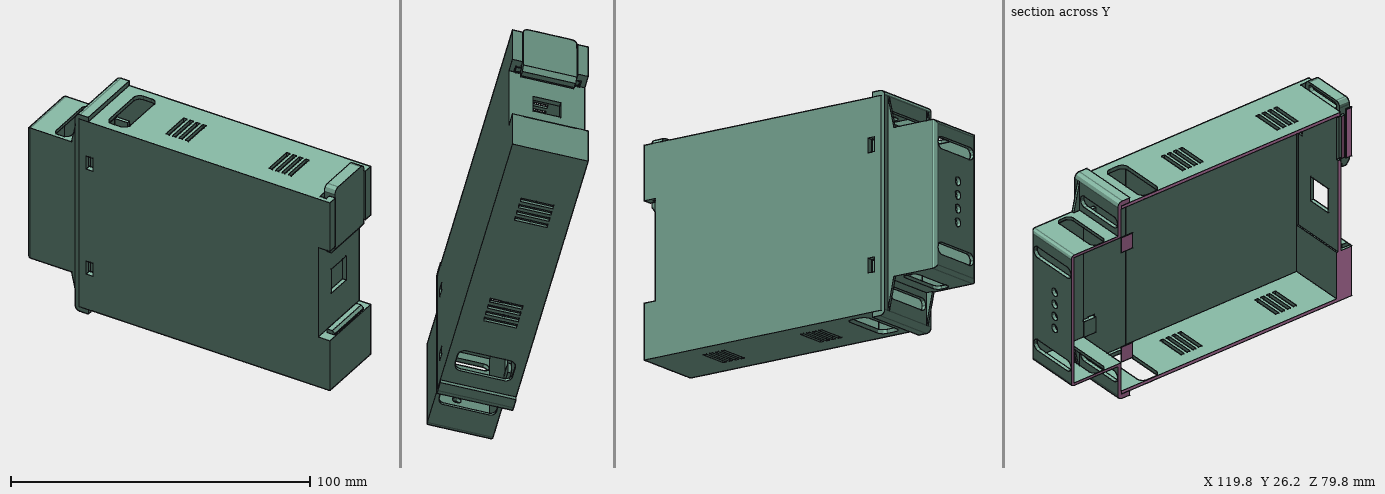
import cadquery as cq


length = 119.8
width = 26.2

housing_front = 21.3
housing_height = 75.0
side_wall = 2.0
end_wall = 1.4
rear_side_wall = 1.7
wall_step_x = 40.3
cavity_back = 113.2
rail_notch_x = 115.2
rail_notch_top = 18.1
rail_notch_bottom = -17.6
notch_wall = 1.4
sight_opening = 9.6
terminal_hole_x = 34.1
terminal_hole_length = 8.0
terminal_hole_corner = 2.4

vent_group_starts = (51.6, 92.0)
vent_count = 4
vent_pitch = 2.5
vent_width = 1.3
vent_span = 11.3
bottom_vent_shift = 0.7

hook_front = 116.3
hook_back = 119.3
hook_height = 1.4
hook_chamfer = 1.0

nose_width = 22.8
nose_height = 52.0
nose_back = 17.4
nose_wall = 1.2
nose_fillet = 1.3
flange_front = 19.9
lip_end = 25.0
lip_thickness = 1.8
lip_fillet = 1.9
cheek_thickness = 1.0
slot_span = 19.9
slot_height = 4.3
slot_corner = 2.0
nose_slot_z = 18.5
flange_slot_z = 30.5
nose_hole_x = 12.3
nose_hole_length = 5.9
light_hole_diameter = 3.0
light_hole_pitch = 4.8
light_hole_count = 4
light_hole_y = -1.2

window_z = 21.0
window_front = 24.2
window_length = 2.6
window_height = 5.2
tongue_thickness = 1.2
tongue_inner_z = 18.7
tongue_outer_z = 24.8
tongue_end = 26.4
tooth_depth = 0.5
tooth_height = 4.5
tooth_crest_end = 25.0

latch_width = 18.5
latch_front = 115.2
latch_back = 119.5
latch_top = 40.5
latch_shoulder = 15.8
latch_fillet = 2.0
latch_tip = 14.7
latch_tip_end = 118.0
latch_bevel_start = 16.7
grip_pocket_width = 14.9
grip_pocket_bottom = 37.1
grip_pocket_top = 39.5
grip_pocket_depth = 1.7
grip_pocket_corner = 1.0
ear_width = 22.0
ear_thickness = 1.5
ear_top = 35.7
ear_bottom = 18.7
stem_slot_width = 19.2
ear_slot_width = 22.8
ear_slot_front = 114.9
ear_slot_back = 117.4

housing_half = housing_height / 2
cover_height = housing_height + 2 * lip_thickness
cavity_width = width - 2 * side_wall
rear_cavity_width = width - 2 * rear_side_wall
cavity_height = housing_height - 2 * end_wall
flange_thickness = housing_front - flange_front


def block(x_range, y_range, z_range):
    """Box between the given limits on each axis."""
    sizes = [limits[1] - limits[0] for limits in (x_range, y_range, z_range)]
    corner = (x_range[0], y_range[0], z_range[0])
    return cq.Workplane("XY").box(*sizes, centered=False).translate(corner)


def centred_block(x_range, y_size, z_range):
    """Box between limits on X and Z, centred across the width."""
    return block(x_range, (-y_size / 2, y_size / 2), z_range)


def symmetric_block(x_range, y_size, z_size):
    """Box between limits on X, centred across the width and the height."""
    return centred_block(x_range, y_size, (-z_size / 2, z_size / 2))


def rounded_hole_z(x_centre, x_size, height, corner):
    """Rounded rectangular cutter that runs along Z through both ends of a body."""
    cutter = symmetric_block((x_centre - x_size / 2, x_centre + x_size / 2), slot_span, height)
    return cutter.edges("|Z").fillet(corner)


def front_slot(x_range, z_centre):
    """Rounded slot cutter that runs along X through a front wall."""
    cutter = centred_block(x_range, slot_span, (z_centre - slot_height / 2, z_centre + slot_height / 2))
    return cutter.edges("|X").fillet(slot_corner)


def vents():
    """Two groups of vent slots; those in the bottom wall sit slightly towards +Y."""
    cutters = cq.Workplane("XY")
    top_wall = (housing_half - 2 * end_wall, housing_half + end_wall)
    bottom_wall = (-top_wall[1], -top_wall[0])
    for start in vent_group_starts:
        for index in range(vent_count):
            x = start + index * vent_pitch
            x_range = (x - vent_width / 2, x + vent_width / 2)
            slot = centred_block(x_range, vent_span, top_wall)
            bottom_slot = centred_block(x_range, vent_span, bottom_wall)
            cutters = cutters.add(slot).add(bottom_slot.translate((0, bottom_vent_shift, 0)))
    return cutters.combine()


def latch_channel():
    """T-shaped channel from the rail notch up through the top, open to the rail side."""
    z_range = (rail_notch_top, latch_top)
    stem = centred_block((ear_slot_front, length), stem_slot_width, z_range)
    ears = centred_block((ear_slot_front, ear_slot_back), ear_slot_width, z_range)
    return stem.union(ears)


def back_recess():
    """Recess that thins the back wall from the lower edge of the notch up to the top wall."""
    x_range = (cavity_back, rail_notch_x - notch_wall)
    return centred_block(x_range, cavity_width, (rail_notch_bottom, cavity_height / 2))


def guide_pockets():
    """Openings from the cavity to the latch channel, one on each side of the latch stem."""
    x_range = (cavity_back, ear_slot_front)
    z_range = (ear_bottom, ear_top)
    openings = centred_block(x_range, cavity_width, z_range)
    return openings.cut(centred_block(x_range, latch_width, z_range))


def snap_windows():
    """Four windows in the side walls that receive the snap teeth."""
    cutters = cq.Workplane("XY")
    for z in (-window_z, window_z):
        window = centred_block(
            (window_front, window_front + window_length),
            width,
            (z - window_height / 2, z + window_height / 2),
        )
        cutters = cutters.add(window)
    return cutters.combine()


def rail_hook():
    """Fixed hook that stands on the lower edge of the rail notch."""
    top = rail_notch_bottom + hook_height
    return (
        cq.Workplane("XZ")
        .moveTo(hook_front, rail_notch_bottom)
        .lineTo(hook_front, top)
        .lineTo(hook_back - hook_chamfer, top)
        .lineTo(hook_back, top - hook_chamfer)
        .lineTo(hook_back, rail_notch_bottom)
        .close()
        .extrude(latch_width / 2, both=True)
    )


def make_housing():
    """Hollow case, open towards the cover, with the rail notch at its back."""
    body = symmetric_block((housing_front, length), width, housing_height)
    body = body.cut(symmetric_block((housing_front, cavity_back), cavity_width, cavity_height))
    notch_z = (rail_notch_bottom, rail_notch_top)
    body = body.cut(centred_block((rail_notch_x, length), width, notch_z))
    body = body.cut(back_recess()).cut(guide_pockets())
    body = body.cut(symmetric_block((wall_step_x, cavity_back), rear_cavity_width, cavity_height))
    body = body.cut(symmetric_block((cavity_back, length), sight_opening, sight_opening))
    terminal_hole = rounded_hole_z(
        terminal_hole_x, terminal_hole_length, housing_height, terminal_hole_corner
    )
    body = body.cut(terminal_hole)
    body = body.cut(vents()).cut(snap_windows()).cut(latch_channel())
    return body.union(rail_hook())


def flange():
    """Flange plate with rounded top and bottom lips that reach over the housing."""
    plate = symmetric_block((flange_front, lip_end), width, cover_height)
    plate = plate.edges("<X and |Y").fillet(lip_fillet)
    return plate.cut(symmetric_block((housing_front, lip_end), width, housing_height))


def cheeks():
    """Two thin plates that slope from the nose to the lips, flush with the nose sides."""
    cheek_top = cover_height / 2 - lip_fillet
    profile = (
        cq.Workplane("XZ")
        .moveTo(nose_back, -nose_height / 2)
        .lineTo(nose_back, nose_height / 2)
        .lineTo(flange_front, cheek_top)
        .lineTo(flange_front, -cheek_top)
        .close()
        .extrude(nose_width / 2, both=True)
    )
    between = symmetric_block((nose_back, flange_front), nose_width - 2 * cheek_thickness, cover_height)
    return profile.cut(between)


def snap_tongue():
    """Upper tongue on the -Y side, with a wedge-shaped tooth that enters a window."""
    outer = -cavity_width / 2
    inner = outer + tongue_thickness
    crest = outer - tooth_depth
    tongue = block((housing_front, tongue_end), (outer, inner), (tongue_inner_z, tongue_outer_z))
    tooth = (
        cq.Workplane("XY", origin=(0, 0, tongue_inner_z))
        .moveTo(window_front, outer)
        .lineTo(window_front, crest)
        .lineTo(tooth_crest_end, crest)
        .lineTo(tongue_end, outer)
        .close()
        .extrude(tooth_height)
    )
    return tongue.union(tooth)


def light_holes():
    """Row of round holes through the nose face."""
    first_z = -light_hole_pitch * (light_hole_count - 1) / 2
    places = [(light_hole_y, first_z + i * light_hole_pitch) for i in range(light_hole_count)]
    return cq.Workplane("YZ").pushPoints(places).circle(light_hole_diameter / 2).extrude(nose_back)


def make_cover():
    """Front cover: hollow nose, flange, cheeks and snap tongues."""
    nose = symmetric_block((0, flange_front), nose_width, nose_height).faces("<X").edges().fillet(nose_fillet)
    body = nose.union(flange()).union(cheeks())
    body = body.cut(
        symmetric_block(
            (flange_thickness, housing_front),
            nose_width - 2 * nose_wall,
            nose_height - 2 * nose_wall,
        )
    )
    for side in (-1, 1):
        body = body.cut(front_slot((0, flange_thickness), side * nose_slot_z))
        body = body.cut(front_slot((flange_front, housing_front), side * flange_slot_z))
    for tongue in (snap_tongue(), snap_tongue().mirror("XY")):
        body = body.union(tongue).union(tongue.mirror("XZ"))
    body = body.cut(rounded_hole_z(nose_hole_x, nose_hole_length, nose_height, slot_corner))
    return body.cut(light_holes())


def make_latch():
    """Sliding rail latch with a rounded grip, a finger pocket, guide ears and a bevelled tip."""
    stem = centred_block((latch_front, latch_back), latch_width, (latch_shoulder, latch_top))
    stem = stem.edges(">Z and |X").fillet(latch_fillet)
    pocket = centred_block(
        (latch_front, latch_front + grip_pocket_depth),
        grip_pocket_width,
        (grip_pocket_bottom, grip_pocket_top),
    )
    stem = stem.cut(pocket.edges("|X").fillet(grip_pocket_corner))
    bevel = (
        cq.Workplane("XZ")
        .moveTo(latch_tip_end, latch_tip)
        .lineTo(latch_back, latch_bevel_start)
        .lineTo(latch_back, latch_tip)
        .close()
        .extrude(latch_width / 2, both=True)
    )
    tip = centred_block((hook_front, latch_back), latch_width, (latch_tip, latch_shoulder))
    ears = centred_block((latch_front, latch_front + ear_thickness), ear_width, (ear_bottom, ear_top))
    return stem.union(tip).cut(bevel).union(ears)


housing = make_housing()
cover = make_cover()
latch = make_latch()

result = cq.Compound.makeCompound([body.solids().val() for body in (housing, cover, latch)])